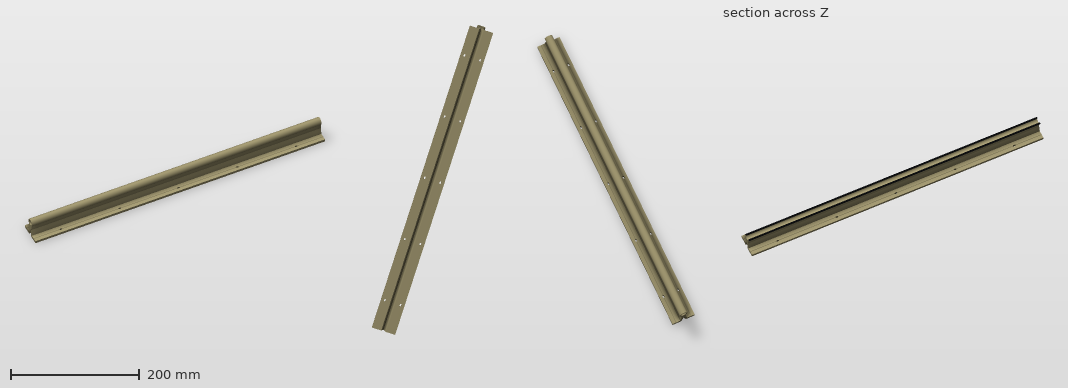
import cadquery as cq

length = 500.0
base_width = 38.0
height = 35.0

tube_radius = 6.5
bore_radius = 4.25
tube_z = height - tube_radius

web_half_width = 3.75
web_foot_half_width = 3.5
shoulder_top_z = 18.0
shoulder_bottom_z = 15.0
leg_foot_half_width = 6.0
gap_half_width = 3.75
gap_peak_z = 13.5

flange_thickness = 4.5
hole_line_x = 12.75
groove_width = 1.0
groove_depth = 0.5

slot_length = 4.5
slot_width = 2.5
slot_rows = 5
slot_pitch = 101.5


def extrude_along_length(profile):
    """Extrude an XZ profile along Y, centred on the origin."""
    return profile.extrude(length / 2, both=True)


def make_rail():
    half_width = base_width / 2
    half_groove = groove_width / 2
    groove_bottom_z = flange_thickness - groove_depth
    right_side = [
        (gap_half_width, 0),
        (half_width, 0),
        (half_width, flange_thickness),
        (hole_line_x + half_groove, flange_thickness),
        (hole_line_x, groove_bottom_z),
        (hole_line_x - half_groove, flange_thickness),
        (leg_foot_half_width, flange_thickness),
        (web_foot_half_width, shoulder_bottom_z),
        (web_half_width, shoulder_top_z),
        (web_half_width, tube_z),
    ]
    left_side = [(-x, z) for x, z in reversed(right_side)]
    outline = [(0, gap_peak_z)] + right_side + left_side
    body = extrude_along_length(cq.Workplane("XZ").polyline(outline).close())
    tube = extrude_along_length(cq.Workplane("XZ").center(0, tube_z).circle(tube_radius))
    bore = extrude_along_length(cq.Workplane("XZ").center(0, tube_z).circle(bore_radius))
    return body.union(tube).cut(bore)


def make_slots():
    return (
        cq.Workplane("XY")
        .rarray(2 * hole_line_x, slot_pitch, 2, slot_rows)
        .slot2D(slot_length, slot_width, 90)
        .extrude(flange_thickness)
    )


result = make_rail().cut(make_slots())